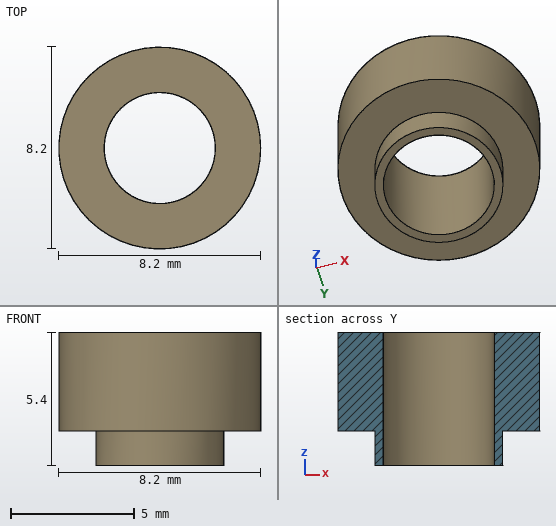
import cadquery as cq

body_diameter = 8.2
total_height = 5.4

spigot_diameter = 5.2
spigot_height = 1.4
bore_diameter = 4.5

body_height = total_height - spigot_height

spigot = cq.Workplane("XY").circle(spigot_diameter / 2).extrude(spigot_height)
body = (
    cq.Workplane("XY")
    .workplane(offset=spigot_height)
    .circle(body_diameter / 2)
    .extrude(body_height)
)

bore = cq.Workplane("XY").circle(bore_diameter / 2).extrude(total_height)

result = spigot.union(body).cut(bore)